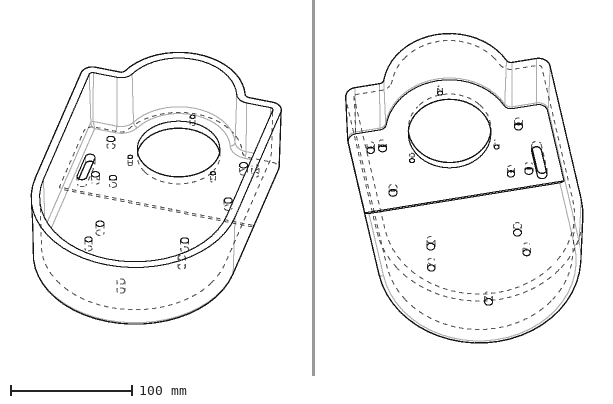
import math

import cadquery as cq

height = 67.0
draft_angle = 1.5
front_radius = 84.0
lobe_radius = 53.0
lobe_center_y = 128.0
shoulder_y = 142.0
shoulder_corner_radius = 8.0
lobe_blend_radius = 6.0
bottom_edge_radius = 4.0

wall_thickness = 7.0
floor_z = 10.0
cavity_floor_radius = 4.0

relief_depth = 2.0
relief_front_y = 63.0

bore_center_y = 127.0
lobe_bore_diameter = 68.0
lobe_screw_circle_radius = 41.0
lobe_screw_diameter = 4.0
lobe_screw_angles = (90, 210, 330)
clearance_hole_diameter = 6.6
front_screw_circle_radius = 42.0
front_screw_angles = (30, 150, 270)
mount_hole_x = 57.0
mount_hole_rows = (78.0, 123.0)
pin_hole_diameter = 6.0
pin_hole_points = [(67.0, 123.0), (-42.0, 78.0), (-40.0, 0.0), (40.0, 0.0)]
slot_length = 32.0
slot_width = 8.0
slot_center = (-67.0, 84.5)


def grown_outline(z, growth):
    """Shell outline at height z, moved outward by growth (inward when negative)."""
    half_width = front_radius + growth
    corner_radius = shoulder_corner_radius + growth
    corner_x = front_radius - shoulder_corner_radius
    corner_y = shoulder_y - shoulder_corner_radius
    back_y = shoulder_y + growth
    diagonal = corner_radius * math.sqrt(0.5)

    blend_radius = lobe_blend_radius - growth
    blend_y = shoulder_y + lobe_blend_radius
    blend_angle = math.asin((blend_y - lobe_center_y) / (lobe_radius + lobe_blend_radius))
    blend_x = (lobe_radius + lobe_blend_radius) * math.cos(blend_angle)
    tangent_x = (lobe_radius + growth) * math.cos(blend_angle)
    tangent_y = lobe_center_y + (lobe_radius + growth) * math.sin(blend_angle)
    middle_angle = (blend_angle + math.pi / 2) / 2
    middle_x = blend_x - blend_radius * math.cos(middle_angle)
    middle_y = blend_y - blend_radius * math.sin(middle_angle)

    return (
        cq.Workplane("XY", origin=(0, 0, z))
        .moveTo(-half_width, 0)
        .threePointArc((0, -half_width), (half_width, 0))
        .lineTo(half_width, corner_y)
        .threePointArc((corner_x + diagonal, corner_y + diagonal), (corner_x, back_y))
        .lineTo(blend_x, back_y)
        .threePointArc((middle_x, middle_y), (tangent_x, tangent_y))
        .threePointArc((0, lobe_center_y + lobe_radius + growth), (-tangent_x, tangent_y))
        .threePointArc((-middle_x, middle_y), (-blend_x, back_y))
        .lineTo(-corner_x, back_y)
        .threePointArc((-corner_x - diagonal, corner_y + diagonal), (-half_width, corner_y))
        .close()
    )


def drafted_solid(z_bottom, inset, bottom_radius):
    """Solid from z_bottom to the rim, inset from the outer wall, rounded at its bottom edge."""
    growth = z_bottom * math.tan(math.radians(draft_angle)) - inset
    body = grown_outline(z_bottom, growth).extrude(height - z_bottom, taper=-draft_angle)
    return body.faces("<Z").edges().fillet(bottom_radius)


def circle_points(center_y, radius, angles):
    """Points at the given angles on a circle centred on the Y axis."""
    return [
        (radius * math.cos(math.radians(a)), center_y + radius * math.sin(math.radians(a)))
        for a in angles
    ]


def hole_cutter(points, diameter):
    return cq.Workplane("XY").pushPoints(points).circle(diameter / 2).extrude(height)


def relief_cutter():
    back_y = lobe_center_y + lobe_radius
    relief_length = back_y - relief_front_y
    return (
        cq.Workplane("XY", origin=(0, relief_front_y, 0))
        .box(2 * front_radius, relief_length, relief_depth, centered=(True, False, False))
    )


def slot_cutter():
    return cq.Workplane("XY").center(*slot_center).slot2D(slot_length, slot_width, 90).extrude(height)


wall_inset = wall_thickness / math.cos(math.radians(draft_angle))
mount_hole_points = [(x, y) for x in (-mount_hole_x, mount_hole_x) for y in mount_hole_rows]
lobe_screw_points = circle_points(bore_center_y, lobe_screw_circle_radius, lobe_screw_angles)
front_screw_points = circle_points(0, front_screw_circle_radius, front_screw_angles)

result = drafted_solid(0, 0, bottom_edge_radius)
result = result.cut(drafted_solid(floor_z, wall_inset, cavity_floor_radius))
result = result.cut(relief_cutter())
result = result.cut(hole_cutter([(0, bore_center_y)], lobe_bore_diameter))
result = result.cut(hole_cutter(lobe_screw_points, lobe_screw_diameter))
result = result.cut(hole_cutter(front_screw_points, clearance_hole_diameter))
result = result.cut(hole_cutter(mount_hole_points, clearance_hole_diameter))
result = result.cut(hole_cutter(pin_hole_points, pin_hole_diameter))
result = result.cut(slot_cutter())